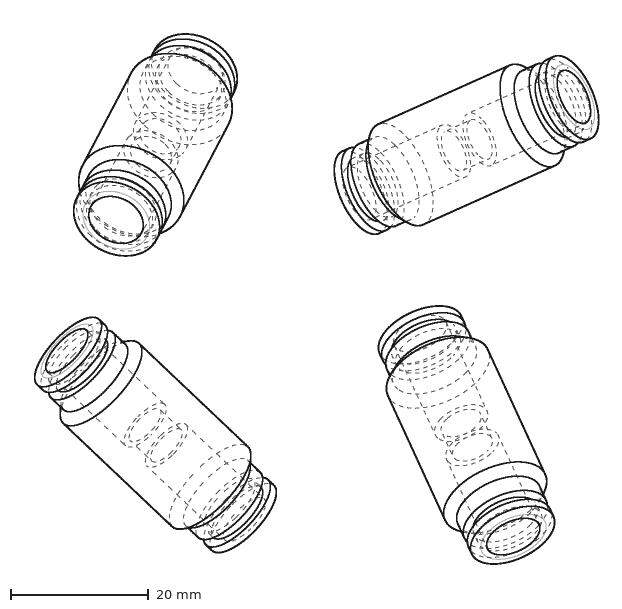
import cadquery as cq

length = 38.5
body_diameter = 16.0
collar_diameter = 13.1
neck_diameter = 10.1
end_face_diameter = 10.15
socket_diameter = 8.28
stop_diameter = 6.25

face_cone_length = 0.27
flange_length = 1.58
groove_width = 1.7
collar_length = 2.7
body_chamfer = (body_diameter - collar_diameter) / 2
stop_width = 4.62

half_length = length / 2
flange_back = half_length - flange_length
collar_end = flange_back - groove_width
chamfer_start = collar_end - collar_length
body_end = chamfer_start - body_chamfer

section_half = [
    (body_diameter / 2, body_end),
    (collar_diameter / 2, chamfer_start),
    (collar_diameter / 2, collar_end),
    (neck_diameter / 2, collar_end),
    (neck_diameter / 2, flange_back),
    (collar_diameter / 2, flange_back),
    (collar_diameter / 2, half_length - face_cone_length),
    (end_face_diameter / 2, half_length),
    (socket_diameter / 2, half_length),
    (socket_diameter / 2, stop_width / 2),
    (stop_diameter / 2, stop_width / 2),
]
mirrored_half = [(radius, -distance) for radius, distance in reversed(section_half)]

result = (
    cq.Workplane("XY")
    .polyline(section_half + mirrored_half)
    .close()
    .revolve(360, (0, 0), (0, 1))
)